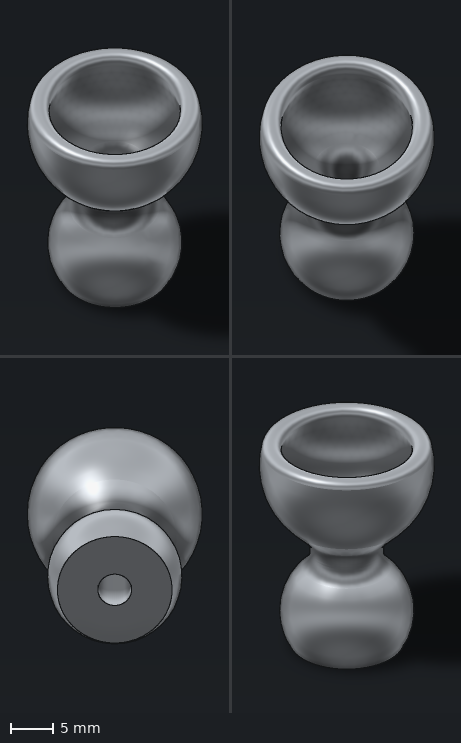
import cadquery as cq
import math


total_height = 27.34
ball_radius = 8.0
ball_centre_z = 4.2
socket_centre_z = 24.1
socket_inner_radius = 8.02
socket_wall = 2.4
neck_radius = 4.4
neck_fillet_radius = 2.83
socket_cone_angle = math.radians(45)
bore_radius = 2.0
bore_flare_radius = 4.0

base_z = 0.0
socket_outer_radius = socket_inner_radius + socket_wall
lip_radius = socket_wall / 2
lip_centre_radius = socket_inner_radius + lip_radius
lip_angle = math.asin((total_height - lip_radius - socket_centre_z) / lip_centre_radius)


def polar_point(centre, radius, angle):
    """Point (r, z) at a distance and elevation angle from a centre in the profile plane."""
    return (centre[0] + radius * math.cos(angle), centre[1] + radius * math.sin(angle))


ball_centre = (0.0, ball_centre_z)
socket_centre = (0.0, socket_centre_z)


def add_outer_side(profile):
    """Draw the ball, neck, cone and outer socket wall, from the base up to the lip."""
    base_angle = math.asin((base_z - ball_centre_z) / ball_radius)
    fillet_axis_radius = neck_radius + neck_fillet_radius

    ball_end_angle = math.acos(fillet_axis_radius / (ball_radius + neck_fillet_radius))
    lower_fillet_centre = polar_point(ball_centre, ball_radius + neck_fillet_radius, ball_end_angle)
    ball_end = polar_point(ball_centre, ball_radius, ball_end_angle)
    lower_fillet_mid = polar_point(lower_fillet_centre, neck_fillet_radius, math.pi + ball_end_angle / 2)

    cone_top = polar_point(socket_centre, socket_outer_radius, -socket_cone_angle)
    cone_bottom_radius = fillet_axis_radius - neck_fillet_radius * math.cos(socket_cone_angle)
    cone_drop = (cone_top[0] - cone_bottom_radius) / math.tan(socket_cone_angle)
    cone_bottom = (cone_bottom_radius, cone_top[1] - cone_drop)
    neck_top_z = cone_bottom[1] - neck_fillet_radius * math.sin(socket_cone_angle)
    upper_fillet_centre = (fillet_axis_radius, neck_top_z)
    upper_fillet_mid = polar_point(upper_fillet_centre, neck_fillet_radius, math.pi - socket_cone_angle / 2)

    wall_mid = polar_point(socket_centre, socket_outer_radius, (lip_angle - socket_cone_angle) / 2)
    wall_end = polar_point(socket_centre, socket_outer_radius, lip_angle)
    return (
        profile.lineTo(*polar_point(ball_centre, ball_radius, base_angle))
        .threePointArc(polar_point(ball_centre, ball_radius, (base_angle + ball_end_angle) / 2), ball_end)
        .threePointArc(lower_fillet_mid, (neck_radius, lower_fillet_centre[1]))
        .lineTo(neck_radius, neck_top_z)
        .threePointArc(upper_fillet_mid, cone_bottom)
        .lineTo(*cone_top)
        .threePointArc(wall_mid, wall_end)
    )


def add_lip(profile):
    """Round the whole wall thickness with one half circle."""
    lip_centre = polar_point(socket_centre, lip_centre_radius, lip_angle)
    lip_mid = polar_point(lip_centre, lip_radius, lip_angle + math.pi / 2)
    return profile.threePointArc(lip_mid, polar_point(socket_centre, socket_inner_radius, lip_angle))


def add_inner_side(profile):
    """Draw the spherical socket and the rounded mouth of the bore."""
    flare_centre_distance = socket_inner_radius + bore_flare_radius
    flare_angle = math.acos((bore_radius + bore_flare_radius) / flare_centre_distance)
    flare_centre = polar_point(socket_centre, flare_centre_distance, -flare_angle)
    flare_mid = polar_point(flare_centre, bore_flare_radius, math.pi - flare_angle / 2)
    socket_mid = polar_point(socket_centre, socket_inner_radius, (lip_angle - flare_angle) / 2)
    socket_end = polar_point(socket_centre, socket_inner_radius, -flare_angle)
    return (
        profile.threePointArc(socket_mid, socket_end)
        .threePointArc(flare_mid, (bore_radius, flare_centre[1]))
    )


def make_link():
    """Revolve the closed half profile about the Z axis."""
    profile = cq.Workplane("XZ").moveTo(bore_radius, base_z)
    profile = add_outer_side(profile)
    profile = add_lip(profile)
    profile = add_inner_side(profile)
    return profile.close().revolve(360, (0, 0, 0), (0, 1, 0))


result = make_link()